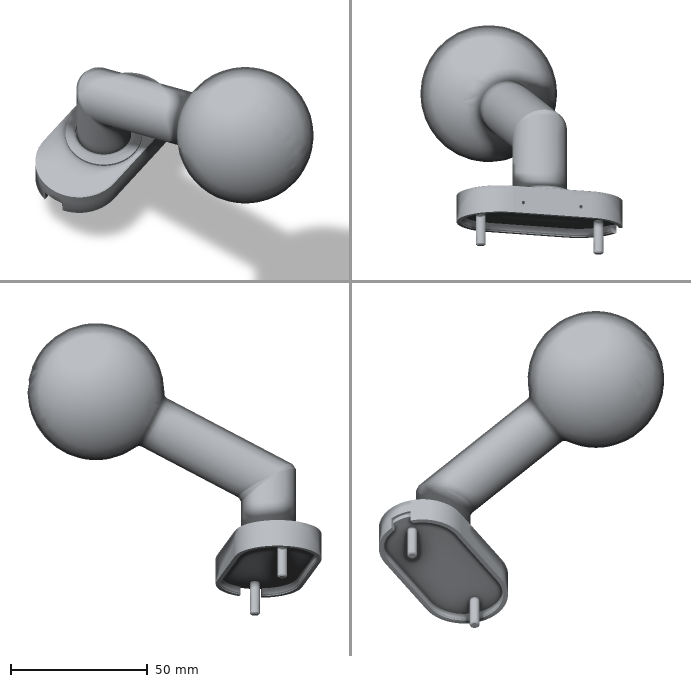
import cadquery as cq
import math

overall_length = 105.8
cover_width = 32.1
cover_length = 62.0
cover_height = 10.0
top_chamfer_width = 0.5
top_chamfer_height = 0.2
wall = 2.0
rim_chamfer = 0.3
notch_width = 8.0
notch_height = 4.7

plate_bottom = 3.0
plate_thickness = 4.0
plate_top = plate_bottom + plate_thickness
tongue_setback = 1.0
cavity_width = cover_width - 2 * wall
cavity_length = cover_length - 2 * wall

pin_diameter = 3.6
pin_spacing = 45.0
pin_drop = 9.3
pin_chamfer = 0.4
pin_places = [side * pin_spacing / 2 for side in (-1, 1)]

screw_diameter = 2.5
screw_spacing = 22.0
screw_height = 3.8
socket_width = 1.3
socket_depth = 1.5
screw_places = [side * screw_spacing / 2 for side in (-1, 1)]

collar_diameter = 28.0
collar_top_diameter = 23.1
collar_bore = 20.6
collar_rim_height = 0.8
collar_height = 2.0

ball_diameter = 50.0
arm_diameter = 20.0
arm_tilt = math.radians(25)
ball_height = 64.5
ball_reach = overall_length - cover_width / 2 - ball_diameter / 2
bend_height = ball_height - ball_reach * math.tan(arm_tilt)
bend_blend = 1.3
neck_round = 2.0


def stadium(width, length, bottom, top):
    """Upright block between two heights, with half-round ends, long along Y."""
    outline = cq.Workplane("XY", origin=(0, 0, bottom)).slot2D(length, width, 90)
    return outline.extrude(top - bottom)


def make_notch(bottom, top):
    """Block through the wall at the -Y end of the cover."""
    block = cq.Workplane("XY", origin=(0, -cover_length / 2, bottom))
    return block.box(notch_width, cover_length / 2, top - bottom, centered=(True, False, False))


def make_cover():
    cover = stadium(cover_width, cover_length, 0, cover_height)
    cover = cover.faces(">Z").edges().chamfer(top_chamfer_height, top_chamfer_width)
    cover = cover.cut(stadium(cavity_width, cavity_length, 0, plate_top))

    rim_width = cavity_width + 2 * rim_chamfer
    rim_length = cavity_length + 2 * rim_chamfer
    rim = stadium(rim_width, rim_length, 0, 2 * rim_chamfer).faces(">Z").edges().chamfer(rim_chamfer)
    cover = cover.cut(rim)

    cavity = stadium(cavity_width, cavity_length, 0, plate_top)
    cover = cover.cut(make_notch(0, notch_height).cut(cavity))

    for y in screw_places:
        cover = cover.cut(screw_cylinder(y))
    return cover


def make_plate():
    plate = stadium(cavity_width, cavity_length, plate_bottom, plate_top)
    tongue_end = stadium(
        cover_width - 2 * tongue_setback, cover_length - 2 * tongue_setback, plate_bottom, notch_height
    )
    plate = plate.union(make_notch(plate_bottom, notch_height).intersect(tongue_end))
    for y in pin_places:
        plate = plate.cut(make_pin(y))
    return plate


def make_pin(y):
    start = cq.Workplane("XY", origin=(0, y, -pin_drop))
    pin = start.circle(pin_diameter / 2).extrude(pin_drop + plate_top)
    return pin.faces("<Z").edges().chamfer(pin_chamfer)


def screw_start(y):
    """Workplane on the -X side of the cover, centred on a screw."""
    return cq.Workplane("YZ", origin=(-cover_width / 2, y, screw_height))


def screw_cylinder(y):
    return screw_start(y).circle(screw_diameter / 2).extrude(wall)


def make_screw(y):
    socket = screw_start(y).polygon(6, socket_width, circumscribed=True).extrude(socket_depth)
    return screw_cylinder(y).cut(socket)


def make_collar():
    bore = collar_bore / 2
    top = collar_top_diameter / 2
    rim = collar_diameter / 2
    profile = [(bore, 0), (rim, 0), (rim, collar_rim_height), (top, collar_height), (bore, collar_height)]
    section = cq.Workplane("XZ", origin=(0, 0, cover_height)).polyline(profile).close()
    return section.revolve(360, (0, 0, 0), (0, 1, 0))


def make_bent_arm():
    """Post and arm mitred together, with the corner blended on its outer and inner sides."""
    radius = arm_diameter / 2
    path = cq.Workplane("XZ").moveTo(0, cover_height).lineTo(0, bend_height).lineTo(ball_reach, ball_height)
    arm = cq.Workplane("XY", origin=(0, 0, cover_height)).circle(radius).sweep(path, transition="right")

    half_turn = (math.pi / 2 - arm_tilt) / 2
    slope = cq.Vector(math.cos(half_turn), 0, -math.sin(half_turn))
    normal = cq.Vector(math.sin(half_turn), 0, math.cos(half_turn))
    bend_center = (0, 0, bend_height)
    miter = cq.Plane(origin=bend_center, xDir=slope, normal=normal)
    side_plane = cq.Plane(origin=bend_center, xDir=slope, normal=(0, -1, 0))

    half_length = radius / math.cos(half_turn)
    length_change = bend_blend * math.sin(half_turn)
    half_height = bend_blend * math.cos(half_turn)
    for direction in (-1, 1):
        reach = half_length + direction * length_change
        wedge_end = 2 * direction * reach
        wedge_outline = [(0, 0), (wedge_end, 2 * half_height), (wedge_end, -2 * half_height)]
        wedge = cq.Workplane(side_plane).polyline(wedge_outline).close().extrude(arm_diameter, both=True)
        oval = cq.Workplane(miter).workplane(offset=-2 * half_height).ellipse(reach, radius)
        arm = arm.cut(wedge).union(oval.extrude(4 * half_height).intersect(wedge))
    return arm


def make_handle():
    ball = cq.Workplane("XY").sphere(ball_diameter / 2).translate((ball_reach, 0, ball_height))
    handle = make_bent_arm().union(ball)

    neck_distance = math.sqrt(ball_diameter**2 - arm_diameter**2) / 2
    neck_x = ball_reach - neck_distance * math.cos(arm_tilt)
    neck_z = ball_height - neck_distance * math.sin(arm_tilt)
    neck_edge = cq.selectors.NearestToPointSelector((neck_x, 0, neck_z))
    return handle.edges(neck_edge).fillet(neck_round)


cover = make_cover()
plate = make_plate()
collar = make_collar()
handle = make_handle()
pins = [make_pin(y) for y in pin_places]
screws = [make_screw(y) for y in screw_places]

bodies = [cover, plate, collar, handle, *pins, *screws]
result = cq.Compound.makeCompound([body.solids().val() for body in bodies])